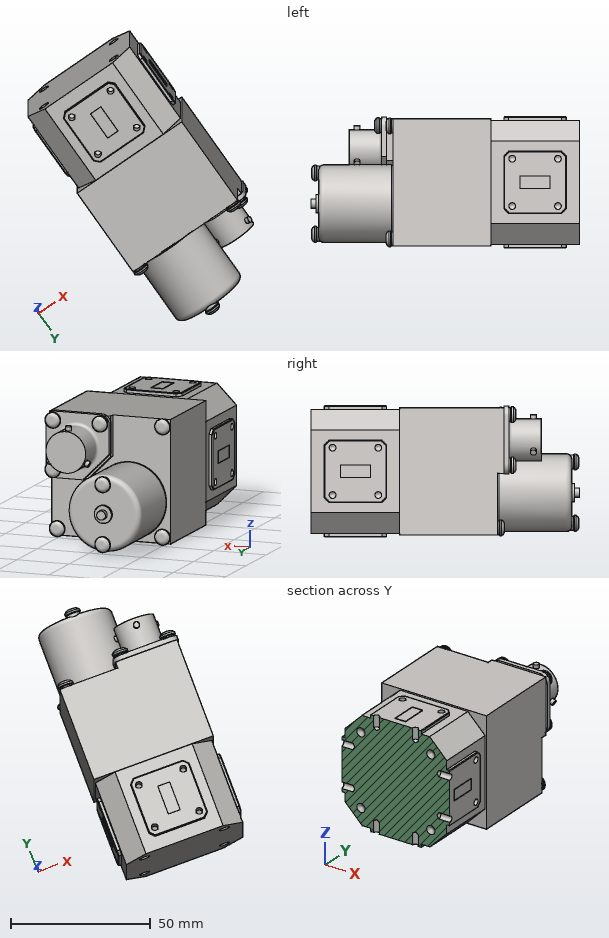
import cadquery as cq
import math


HOUSING_SIZE = 44.4
HOUSING_LENGTH = 31.7
HOUSING_CHAMFER = 7.5
MOUNT_HOLE_OFFSET = 15.2
MOUNT_HOLE_DIAMETER = 3.75
MOUNT_HOLE_DEPTH = 7.7
DRILL_POINT_ANGLE = 118.0

OUTER_WIDTH = 47.0
PAD_SIZE = 22.3
PAD_CORNER = 1.7
PAD_EDGE = 0.3
PAD_CENTER_Y = 16.0
PAD_HOLE_ACROSS = 8.5
PAD_HOLE_ALONG = 8.2
PAD_HOLE_DIAMETER = 2.4
PAD_HOLE_DEPTH = 4.8
WINDOW_WIDTH = 4.5
WINDOW_LENGTH = 10.8
WINDOW_DEPTH = 0.2

BODY_SIZE = 45.6
BODY_END = 66.7
STEP_SIZE = 23.5
STEP_HEIGHT = 2.3
STEP_CUT = 8.5

MOTOR_OFFSET = -7.6
MOTOR_DIAMETER = 27.9
MOTOR_END = 93.4
MOTOR_EDGE_RADIUS = 2.0
NECK_DIAMETER = 27.3
NECK_LENGTH = 0.6
PILOT_DIAMETER = 6.5
PILOT_LENGTH = 1.0
SHAFT_DIAMETER = 3.4
SHAFT_END = 96.1
MOTOR_SCREW_OFFSET = 11.0

CONNECTOR_OFFSET = 11.25
FLANGE_SIZE = 24.3
FLANGE_THICKNESS = 1.8
FLANGE_CORNER_RADIUS = 3.6
FLANGE_CUT = 10.1
CONNECTOR_DIAMETER = 15.2
CONNECTOR_END = 82.4
CONNECTOR_ROOT_RADIUS = 1.2
PIN_DIAMETER = 2.2
PIN_REACH = 9.0
PIN_Y = 79.6
PIN_ANGLES = (90, 210, 330)
FLANGE_SCREW_OFFSET = 9.0

BODY_SCREW_OFFSET = 20.2
WASHER_DIAMETER = 5.0
WASHER_HEIGHT = 0.6
SCREW_DIAMETER = 5.8
SCREW_RIM_HEIGHT = 1.8
SCREW_RIM_EDGE = 0.3
SCREW_HEIGHT = 2.5
SCREW_TOP_DIAMETER = 2.5
SCREW_ROOT = 1.9
DOME_BULGE = 0.3


def section(y, x=0.0, z=0.0):
    """Workplane facing +Y at the given point; its local axes are X and -Z."""
    return cq.Workplane("XZ", origin=(x, y, z)).transformed(rotate=(180, 0, 0))


def cylinder(diameter, start, end, x, z):
    """Solid cylinder along Y."""
    return section(start, x, z).circle(diameter / 2).extrude(end - start)


def drill(diameter, depth):
    """Drilled-hole cutter entering along -Z from the origin, ending in a cone."""
    radius = diameter / 2
    tip = radius / math.tan(math.radians(DRILL_POINT_ANGLE / 2))
    profile = [(0, 0), (radius, 0), (radius, -depth), (0, -depth - tip)]
    return cq.Workplane("XZ").polyline(profile).close().revolve(360, (0, 0), (0, 1))


def corners(x_offset, y_offset):
    """Four points placed symmetrically about the origin."""
    return [(sx * x_offset, sy * y_offset) for sx in (-1, 1) for sy in (-1, 1)]


def make_housing():
    housing = (
        section(0)
        .rect(HOUSING_SIZE, HOUSING_SIZE)
        .extrude(HOUSING_LENGTH)
        .edges("|Y")
        .chamfer(HOUSING_CHAMFER)
    )
    cutter = drill(MOUNT_HOLE_DIAMETER, MOUNT_HOLE_DEPTH).rotate((0, 0, 0), (1, 0, 0), 90)
    for x, z in corners(MOUNT_HOLE_OFFSET, MOUNT_HOLE_OFFSET):
        housing = housing.cut(cutter.translate((x, 0, z)))
    return housing


def make_pad():
    """Upward-facing pad; it reaches down to the housing surface."""
    base = HOUSING_SIZE / 2
    top = OUTER_WIDTH / 2
    return (
        cq.Workplane("XY", origin=(0, PAD_CENTER_Y, base))
        .rect(PAD_SIZE, PAD_SIZE)
        .extrude(top - base)
        .edges("|Z")
        .chamfer(PAD_CORNER)
        .faces(">Z")
        .chamfer(PAD_EDGE)
    )


def make_port_cutter():
    """Shallow window and four drilled holes entering the upward-facing pad."""
    top = OUTER_WIDTH / 2
    cutter = (
        cq.Workplane("XY", origin=(0, PAD_CENTER_Y, top))
        .rect(WINDOW_WIDTH, WINDOW_LENGTH)
        .extrude(-WINDOW_DEPTH)
    )
    hole = drill(PAD_HOLE_DIAMETER, PAD_HOLE_DEPTH)
    for x, y in corners(PAD_HOLE_ACROSS, PAD_HOLE_ALONG):
        cutter = cutter.union(hole.translate((x, PAD_CENTER_Y + y, top)))
    return cutter


def make_corner_block(start, height, center, size, cut):
    """Square block whose corner nearest the motor is cut off at 45 degrees."""
    block = section(start, center, center).rect(size, size).extrude(height)
    return block.edges("|Y and <X and <Z").chamfer(cut)


def make_body():
    body = section(HOUSING_LENGTH).rect(BODY_SIZE, BODY_SIZE).extrude(BODY_END - HOUSING_LENGTH)
    step_center = (BODY_SIZE - STEP_SIZE) / 2
    return body.union(make_corner_block(BODY_END, STEP_HEIGHT, step_center, STEP_SIZE, STEP_CUT))


def make_motor():
    x = z = MOTOR_OFFSET
    can_start = BODY_END + NECK_LENGTH
    can = cylinder(MOTOR_DIAMETER, can_start, MOTOR_END, x, z)
    can = can.faces(">Y").edges().fillet(MOTOR_EDGE_RADIUS)
    return (
        can.union(cylinder(NECK_DIAMETER, BODY_END, can_start, x, z))
        .union(cylinder(PILOT_DIAMETER, MOTOR_END, MOTOR_END + PILOT_LENGTH, x, z))
        .union(cylinder(SHAFT_DIAMETER, MOTOR_END, SHAFT_END, x, z))
    )


def make_connector():
    x = z = CONNECTOR_OFFSET
    flange_start = BODY_END + STEP_HEIGHT
    flange_end = flange_start + FLANGE_THICKNESS
    flange = make_corner_block(flange_start, FLANGE_THICKNESS, x, FLANGE_SIZE, FLANGE_CUT)
    for rounded_corner in ("<X and >Z", ">X and >Z", ">X and <Z"):
        flange = flange.edges("|Y and " + rounded_corner).fillet(FLANGE_CORNER_RADIUS)

    radius = CONNECTOR_DIAMETER / 2
    root = CONNECTOR_ROOT_RADIUS
    root_mid = root * (1 - math.sqrt(0.5))
    shell = (
        cq.Workplane("XY")
        .lineTo(radius + root, 0)
        .threePointArc((radius + root_mid, root_mid), (radius, root))
        .lineTo(radius, CONNECTOR_END - flange_end)
        .lineTo(0, CONNECTOR_END - flange_end)
        .close()
        .revolve(360, (0, 0), (0, 1))
        .translate((x, flange_end, z))
    )
    connector = flange.union(shell)
    pin = cq.Workplane("YZ").circle(PIN_DIAMETER / 2).extrude(PIN_REACH)
    for angle in PIN_ANGLES:
        turned_pin = pin.rotate((0, 0, 0), (0, 1, 0), -angle)
        connector = connector.union(turned_pin.translate((x, PIN_Y, z)))
    return connector


def make_screw():
    """Screw along +Y with its seat at Y = 0 and a short root below the seat."""
    washer = WASHER_DIAMETER / 2
    rim = SCREW_DIAMETER / 2
    top = SCREW_TOP_DIAMETER / 2
    inset = rim - SCREW_RIM_EDGE
    dome_mid_radius = (inset + top + DOME_BULGE) / 2
    dome_mid_height = (SCREW_RIM_HEIGHT + SCREW_HEIGHT + DOME_BULGE) / 2
    return (
        cq.Workplane("XY")
        .moveTo(0, -SCREW_ROOT)
        .lineTo(washer, -SCREW_ROOT)
        .lineTo(washer, WASHER_HEIGHT)
        .lineTo(inset, WASHER_HEIGHT)
        .lineTo(rim, WASHER_HEIGHT + SCREW_RIM_EDGE)
        .lineTo(rim, SCREW_RIM_HEIGHT - SCREW_RIM_EDGE)
        .lineTo(inset, SCREW_RIM_HEIGHT)
        .threePointArc((dome_mid_radius, dome_mid_height), (top, SCREW_HEIGHT))
        .lineTo(0, SCREW_HEIGHT)
        .close()
        .revolve(360, (0, 0), (0, 1))
    )


def screw_seats():
    """Seat points of every screw."""
    far = CONNECTOR_OFFSET + FLANGE_SCREW_OFFSET
    near = CONNECTOR_OFFSET - FLANGE_SCREW_OFFSET
    edge = BODY_SCREW_OFFSET
    flange_face = BODY_END + STEP_HEIGHT + FLANGE_THICKNESS
    on_body = [(x, BODY_END, z) for x, z in ((-edge, edge), (-edge, -edge), (edge, -edge))]
    on_flange = [(x, flange_face, z) for x, z in ((near, far), (far, far), (far, near))]
    on_motor = [
        (MOTOR_OFFSET, MOTOR_END, MOTOR_OFFSET + side * MOTOR_SCREW_OFFSET) for side in (-1, 1)
    ]
    return on_body + on_flange + on_motor


result = make_housing().union(make_body()).union(make_motor()).union(make_connector())

pad = make_pad()
port_cutter = make_port_cutter()
for angle in (0, 90, 180, 270):
    result = result.union(pad.rotate((0, 0, 0), (0, 1, 0), angle))
    result = result.cut(port_cutter.rotate((0, 0, 0), (0, 1, 0), angle))

screw = make_screw()
for seat in screw_seats():
    result = result.union(screw.translate(seat))